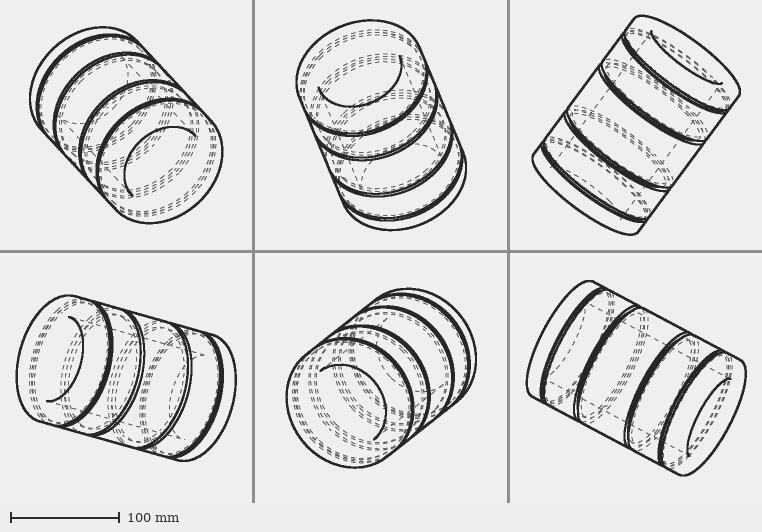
import cadquery as cq

length = 165.0
outer_diameter = 120.0
bore_diameter = 80.0
edge_radius = 2.5

end_groove_width = 3.6
end_groove_depth = 3.0
end_groove_offset = 64.4
inner_groove_width = 4.1
inner_groove_depth = 6.0
inner_groove_offset = 27.5


def sleeve():
    """Bored cylinder with rounded inner and outer rims."""
    body = (
        cq.Workplane("YZ", origin=(-length / 2, 0, 0))
        .circle(outer_diameter / 2)
        .circle(bore_diameter / 2)
        .extrude(length)
    )
    return body.faces("<X or >X").edges().fillet(edge_radius)


def groove_ring(center, width, depth):
    """Ring of material to remove from the outer surface."""
    return (
        cq.Workplane("YZ", origin=(center - width / 2, 0, 0))
        .circle(outer_diameter / 2 + depth)
        .circle(outer_diameter / 2 - depth)
        .extrude(width)
    )


result = sleeve()
for side in (-1, 1):
    result = result.cut(groove_ring(side * end_groove_offset, end_groove_width, end_groove_depth))
    result = result.cut(groove_ring(side * inner_groove_offset, inner_groove_width, inner_groove_depth))